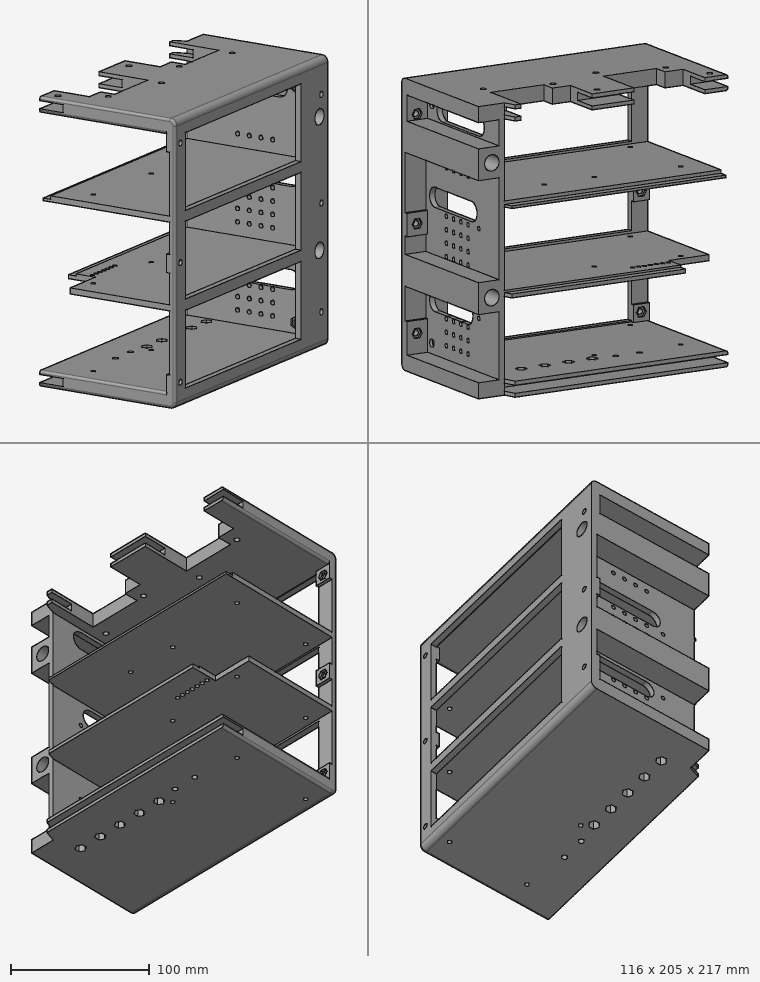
import cadquery as cq

WIDTH = 116.0
DEPTH = 205.0
HEIGHT = 217.0
MID_HEIGHT = HEIGHT / 2

PLATE = 12.0
SIDE = 5.0
CORNER_RADIUS = 5.0
RIM_RADIUS = 2.0
ROOF_UNDERSIDE = HEIGHT - PLATE
SIDE_INSIDE = WIDTH - SIDE

BACK_LEFT = 9.5
BACK_FRONT = DEPTH - 22.0
POCKET_FRONT = DEPTH - 17.5
UPPER_POCKET_BOTTOM = 185.6
POCKETS = [(PLATE, 62.6), (86.3, 162.0), (UPPER_POCKET_BOTTOM, ROOF_UNDERSIDE)]
DOWEL_DIAMETER = 12.2
DOWEL_Y = DEPTH - 11.3
DOWEL_HEIGHTS = [73.8, 173.8]

SLOT_DEPTH = 20.0
TONGUE = 3.0
TONGUE_SLANT = 3.2

WINDOW_FRONT = 13.7
WINDOW_REAR = 169.2
WINDOW_HEIGHT = 58.3
WINDOW_BOTTOMS = [13.0, 79.7, 146.0]

SHELF_THICKNESS = 4.6
SHELF_TONGUE_LEFT = 2.9
UPPER_SHELF_BOTTOM = 139.6
LOWER_SHELF_BOTTOM = 73.2
UPPER_SHELF_TONGUE = 2.0
LOWER_SHELF_TONGUE = 3.0
SHELF_NOTCH_X = 26.0
SHELF_NOTCH_Y = 34.0

ROOF_NOTCH_PITCH = 95.2
FRONT_ROOF_NOTCH_REAR = 79.6
ROOF_NOTCH_LENGTH = 60.0
ROOF_NOTCH_X = 30.0
ROOF_NOTCH_DEEP_LENGTH = 44.8
ROOF_NOTCH_DEEP_X = 42.0

NUT_CORNERS = 8.4
NUT_POCKET_DEPTH = 2.0
LARGE_NUT_CORNERS = 9.7

TAB_THICKNESS = 2.6
TAB_SCREW_Y = 7.0
TAB_SCREW_SPACING = 89.5
TAB_SCREW_HEIGHTS = [MID_HEIGHT + TAB_SCREW_SPACING * i for i in (-1, 0, 1)]
TAB_END = 25.1
TAB_HALF_HEIGHT = 6.9
TABS = [
    (PLATE - RIM_RADIUS, TAB_END),
    (MID_HEIGHT - TAB_HALF_HEIGHT, MID_HEIGHT + TAB_HALF_HEIGHT),
    (HEIGHT - TAB_END, ROOF_UNDERSIDE + RIM_RADIUS),
]
PAD_SCREW_Y = DEPTH - 8.6
PAD_SCREW_SPACING = 81.4
PAD_SCREW_HEIGHTS = [MID_HEIGHT + PAD_SCREW_SPACING * i for i in (-1, 0, 1)]
LOWER_PAD_TOP = 36.9
PAD_HALF_HEIGHT = 8.75
PADS = [
    (PLATE, LOWER_PAD_TOP),
    (MID_HEIGHT - PAD_HALF_HEIGHT, MID_HEIGHT + PAD_HALF_HEIGHT),
    (UPPER_POCKET_BOTTOM, ROOF_UNDERSIDE),
]
TAB_SCREW_DIAMETER = 4.2
PAD_SCREW_DIAMETER = 4.4

CABLE_SLOT_HEIGHT = 15.0
CABLE_SLOTS = [(46.0, 105.8, 51.7), (40.3, 105.8, 129.0), (30.3, 95.5, 194.5)]
VENT_DIAMETER = 3.3
VENT_PITCH = 10.0
VENT_FIRST_X = 52.7
VENT_COLUMN_COUNT = 4
VENT_GROUPS = [(22.2, 3), (88.2, 4), (154.2, 1)]
BACK_PIN_X = 37.8
BACK_PIN_HEIGHTS = [51.7, 118.4]
BACK_SCREW_DIAMETER = 6.0
BACK_SCREW_X = 102.8
BACK_SCREW_SPACING = 88.5
BACK_SCREW_HEIGHTS = [MID_HEIGHT + BACK_SCREW_SPACING * i for i in (-1, 1)]

PLATE_SCREW_DIAMETER = 4.2
BOARD_SCREW_DIAMETER = 3.3
ROOF_HOLES = [(54.1, 78.6), (41.3, 27.4)]
ROOF_TONGUE_HOLE = (9.7, 9.5)
BOARD_HOLES = [(33.5, 19.5), (103.5, 19.5), (38.2, 89.8)]
UPPER_SHELF_PIN = (37.8, 132.3)
PIN_DIAMETER = 3.2
LOWER_SHELF_ROW_X = 21.2
LOWER_SHELF_ROW_FRONT = 37.7
LOWER_SHELF_ROW_PITCH = 5.0
LOWER_SHELF_ROW_COUNT = 7
FLOOR_ROW_PITCH = 20.0
FLOOR_ROW_X = 28.3
FLOOR_ROW_FRONT = 57.5
FLOOR_ROW_COUNT = 2
FLOOR_NUT_X = 30.6
FLOOR_NUT_FRONT = 96.0
FLOOR_NUT_COUNT = 5


def box(x_range, y_range, z_range):
    """Block between the given limits."""
    (x0, x1), (y0, y1), (z0, z1) = x_range, y_range, z_range
    return cq.Workplane("XY").box(x1 - x0, y1 - y0, z1 - z0, centered=False).translate((x0, y0, z0))


def drill(axis, diameter, start, depth):
    """Cylinder from a start point along +X, +Y or +Z."""
    directions = {"X": (1, 0, 0), "Y": (0, 1, 0), "Z": (0, 0, 1)}
    direction = cq.Vector(*directions[axis])
    solid = cq.Solid.makeCylinder(diameter / 2, depth, cq.Vector(*start), direction)
    return cq.Workplane(obj=solid)


def hexagon(plane, corner_diameter, start, depth):
    """Hexagonal prism with two corners on the first axis of its plane."""
    return cq.Workplane(plane, origin=start).polygon(6, corner_diameter).extrude(depth)


def shell():
    """C-shaped shell with rounded corners, a rounded front rim and the back frame closing the rear."""
    outer = box((0, WIDTH), (0, DEPTH), (0, HEIGHT)).edges(">X and |Y").fillet(CORNER_RADIUS)
    outer = outer.faces("<Y").edges("not <X").fillet(RIM_RADIUS)
    cavity = box((0, SIDE_INSIDE), (0, BACK_FRONT), (PLATE, ROOF_UNDERSIDE))
    body = outer.cut(cavity)
    for z in (PLATE, ROOF_UNDERSIDE):
        inner_edge = cq.selectors.NearestToPointSelector((SIDE_INSIDE / 2, 0, z))
        body = body.edges(inner_edge).fillet(RIM_RADIUS)
    for bottom, top in POCKETS:
        body = body.cut(box((0, SIDE_INSIDE), (POCKET_FRONT, DEPTH), (bottom, top)))
    body = body.cut(box((0, BACK_LEFT), (BACK_FRONT, DEPTH), (0, HEIGHT)))
    for z in DOWEL_HEIGHTS:
        body = body.cut(drill("X", DOWEL_DIAMETER, (0, DOWEL_Y, z), WIDTH))
    return body


def edge_slots():
    """Slots that split the open edges of the floor and the roof into pairs of tongues."""
    slots = cq.Workplane("XY")
    for bottom in (0, ROOF_UNDERSIDE):
        z_range = (bottom + TONGUE, bottom + PLATE - TONGUE)
        slots = slots.add(box((0, SLOT_DEPTH), (0, BACK_FRONT), z_range))
    return slots.combine()


def tongue_slant():
    """Wedge that slants the rear ends of all tongues."""
    corners = [
        (0, BACK_FRONT - TONGUE_SLANT),
        (BACK_LEFT, BACK_FRONT),
        (0, BACK_FRONT),
    ]
    return cq.Workplane("XY").polyline(corners).close().extrude(HEIGHT)


def windows():
    """Three rectangular openings in the right wall."""
    cuts = cq.Workplane("XY")
    for bottom in WINDOW_BOTTOMS:
        z_range = (bottom, bottom + WINDOW_HEIGHT)
        cuts = cuts.add(box((SIDE_INSIDE, WIDTH), (WINDOW_FRONT, WINDOW_REAR), z_range))
    return cuts.combine()


def shelf(bottom, tongue_thickness):
    """Shelf between the back and right walls with a thin tongue along its open edge."""
    y_range = (0, BACK_FRONT)
    plate = box((BACK_LEFT, SIDE_INSIDE), y_range, (bottom, bottom + SHELF_THICKNESS))
    return plate.union(box((SHELF_TONGUE_LEFT, BACK_LEFT), y_range, (bottom, bottom + tongue_thickness)))


def upper_shelf():
    """Upper shelf with board screw holes and one pin hole."""
    body = shelf(UPPER_SHELF_BOTTOM, UPPER_SHELF_TONGUE)
    for x, y in BOARD_HOLES:
        body = body.cut(drill("Z", BOARD_SCREW_DIAMETER, (x, y, UPPER_SHELF_BOTTOM), SHELF_THICKNESS))
    return body.cut(drill("Z", PIN_DIAMETER, (*UPPER_SHELF_PIN, UPPER_SHELF_BOTTOM), SHELF_THICKNESS))


def lower_shelf():
    """Lower shelf with a notched front corner, board screw holes and a row of pin holes."""
    body = shelf(LOWER_SHELF_BOTTOM, LOWER_SHELF_TONGUE)
    body = body.cut(box((0, SHELF_NOTCH_X), (0, SHELF_NOTCH_Y), (0, HEIGHT)))
    for x, y in BOARD_HOLES:
        body = body.cut(drill("Z", BOARD_SCREW_DIAMETER, (x, y, LOWER_SHELF_BOTTOM), SHELF_THICKNESS))
    for i in range(LOWER_SHELF_ROW_COUNT):
        y = LOWER_SHELF_ROW_FRONT + LOWER_SHELF_ROW_PITCH * i
        start = (LOWER_SHELF_ROW_X, y, LOWER_SHELF_BOTTOM)
        body = body.cut(drill("Z", PIN_DIAMETER, start, SHELF_THICKNESS))
    return body


def roof_cuts():
    """Two stepped notches in the roof and the screw holes that repeat with them."""
    cuts = cq.Workplane("XY")
    z_range = (ROOF_UNDERSIDE, HEIGHT)
    for shift in (0, ROOF_NOTCH_PITCH):
        rear = FRONT_ROOF_NOTCH_REAR + shift
        cuts = cuts.add(box((0, ROOF_NOTCH_X), (rear - ROOF_NOTCH_LENGTH, rear), z_range))
        cuts = cuts.add(box((0, ROOF_NOTCH_DEEP_X), (rear - ROOF_NOTCH_DEEP_LENGTH, rear), z_range))
        for x, y in ROOF_HOLES:
            cuts = cuts.add(drill("Z", PLATE_SCREW_DIAMETER, (x, y + shift, ROOF_UNDERSIDE), PLATE))
        x, y = ROOF_TONGUE_HOLE
        cuts = cuts.add(drill("Z", PLATE_SCREW_DIAMETER, (x, y + shift, HEIGHT - TONGUE), TONGUE))
    return cuts.combine()


def floor_holes():
    """Round screw holes and a row of hexagonal holes through the floor."""
    holes = cq.Workplane("XY")
    for x, y in BOARD_HOLES:
        holes = holes.add(drill("Z", BOARD_SCREW_DIAMETER, (x, y, 0), PLATE))
    for i in range(FLOOR_ROW_COUNT):
        y = FLOOR_ROW_FRONT + FLOOR_ROW_PITCH * i
        holes = holes.add(drill("Z", PLATE_SCREW_DIAMETER, (FLOOR_ROW_X, y, 0), PLATE))
    for i in range(FLOOR_NUT_COUNT):
        y = FLOOR_NUT_FRONT + FLOOR_ROW_PITCH * i
        holes = holes.add(hexagon("XY", NUT_CORNERS, (FLOOR_NUT_X, y, 0), PLATE))
    return holes.combine()


def side_tabs():
    """Screw tabs at the front and screw pads in the rear pockets, all against the right wall."""
    x_range = (SIDE_INSIDE - TAB_THICKNESS, SIDE_INSIDE)
    tabs = cq.Workplane("XY")
    for bottom, top in TABS:
        tabs = tabs.add(box(x_range, (0, WINDOW_FRONT), (bottom, top)))
    for bottom, top in PADS:
        tabs = tabs.add(box(x_range, (POCKET_FRONT, DEPTH), (bottom, top)))
    return tabs.combine()


def side_screw_holes():
    """Holes with nut pockets through the tabs, the pads and the right wall."""
    screws = [(TAB_SCREW_DIAMETER, TAB_SCREW_Y, z) for z in TAB_SCREW_HEIGHTS]
    screws += [(PAD_SCREW_DIAMETER, PAD_SCREW_Y, z) for z in PAD_SCREW_HEIGHTS]
    face = SIDE_INSIDE - TAB_THICKNESS
    holes = cq.Workplane("XY")
    for diameter, y, z in screws:
        holes = holes.add(drill("X", diameter, (face, y, z), SIDE + TAB_THICKNESS))
        holes = holes.add(hexagon("YZ", NUT_CORNERS, (face, y, z), NUT_POCKET_DEPTH))
    return holes.combine()


def back_wall_openings():
    """Cable slots, ventilation holes and screw holes through the back wall."""
    wall = POCKET_FRONT - BACK_FRONT
    cuts = cq.Workplane("XY")
    for left, right, z in CABLE_SLOTS:
        slot = (
            cq.Workplane("XZ", origin=((left + right) / 2, POCKET_FRONT, z))
            .slot2D(right - left, CABLE_SLOT_HEIGHT)
            .extrude(wall)
        )
        cuts = cuts.add(slot)
    vent_columns = [VENT_FIRST_X + VENT_PITCH * i for i in range(VENT_COLUMN_COUNT)]
    vent_rows = [lowest + VENT_PITCH * i for lowest, count in VENT_GROUPS for i in range(count)]
    for x in vent_columns:
        for z in vent_rows:
            cuts = cuts.add(drill("Y", VENT_DIAMETER, (x, BACK_FRONT, z), wall))
    for z in BACK_PIN_HEIGHTS:
        cuts = cuts.add(drill("Y", PIN_DIAMETER, (BACK_PIN_X, BACK_FRONT, z), wall))
    for z in BACK_SCREW_HEIGHTS:
        start = (BACK_SCREW_X, BACK_FRONT, z)
        cuts = cuts.add(drill("Y", BACK_SCREW_DIAMETER, start, wall))
        cuts = cuts.add(hexagon("ZX", LARGE_NUT_CORNERS, start, NUT_POCKET_DEPTH))
    return cuts.combine()


result = (
    shell()
    .cut(edge_slots())
    .cut(windows())
    .union(upper_shelf())
    .union(lower_shelf())
    .cut(tongue_slant())
    .cut(roof_cuts())
    .cut(floor_holes())
    .union(side_tabs())
    .cut(side_screw_holes())
    .cut(back_wall_openings())
)